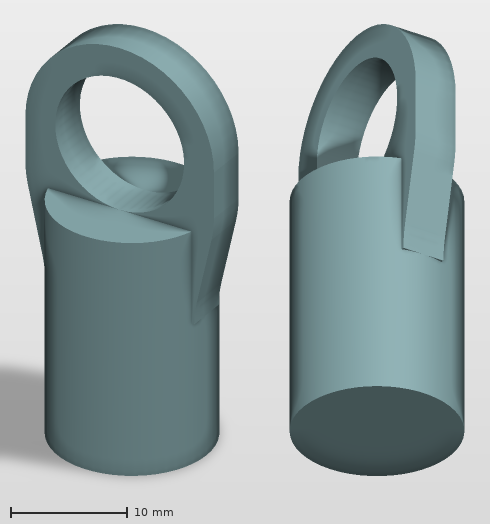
import cadquery as cq
import math

stem_diameter = 15.0
stem_radius = stem_diameter / 2

total_height = 39.0
eye_width = 19.0
eye_radius = eye_width / 2
hole_diameter = 13.0
plate_thickness = 4.05
eye_centre_z = total_height - eye_radius
stem_height = eye_centre_z - hole_diameter / 2

upper_corner_z = 23.85
lower_corner_z = 15.0
corner_radius = 10.0

taper_angle = math.atan2(eye_radius - stem_radius, upper_corner_z - lower_corner_z)
tangent_length = corner_radius * math.tan(taper_angle / 2)
tangent_dx = tangent_length * math.sin(taper_angle)
tangent_dz = tangent_length * math.cos(taper_angle)
plate_bottom_z = lower_corner_z - tangent_length


def make_stem():
    return cq.Workplane("XY").circle(stem_radius).extrude(stem_height)


def make_eye_plate():
    """Round-topped plate with both flanks tapering smoothly into the stem."""
    flank = [
        (stem_radius, plate_bottom_z),
        (stem_radius + tangent_dx, lower_corner_z + tangent_dz),
        (eye_radius - tangent_dx, upper_corner_z - tangent_dz),
        (eye_radius, upper_corner_z + tangent_length),
        (eye_radius, eye_centre_z),
    ]
    mirrored = [(-x, z) for x, z in flank]
    outline = (
        cq.Workplane("XZ")
        .moveTo(*flank[0])
        .radiusArc(flank[1], corner_radius)
        .lineTo(*flank[2])
        .radiusArc(flank[3], -corner_radius)
        .lineTo(*flank[4])
        .threePointArc((0, total_height), mirrored[4])
        .lineTo(*mirrored[3])
        .radiusArc(mirrored[2], -corner_radius)
        .lineTo(*mirrored[1])
        .radiusArc(mirrored[0], corner_radius)
        .close()
    )
    return outline.extrude(plate_thickness / 2, both=True)


def make_eye_hole():
    circle = cq.Workplane("XZ").center(0, eye_centre_z).circle(hole_diameter / 2)
    return circle.extrude(plate_thickness / 2, both=True)


result = make_stem().union(make_eye_plate().cut(make_eye_hole()))